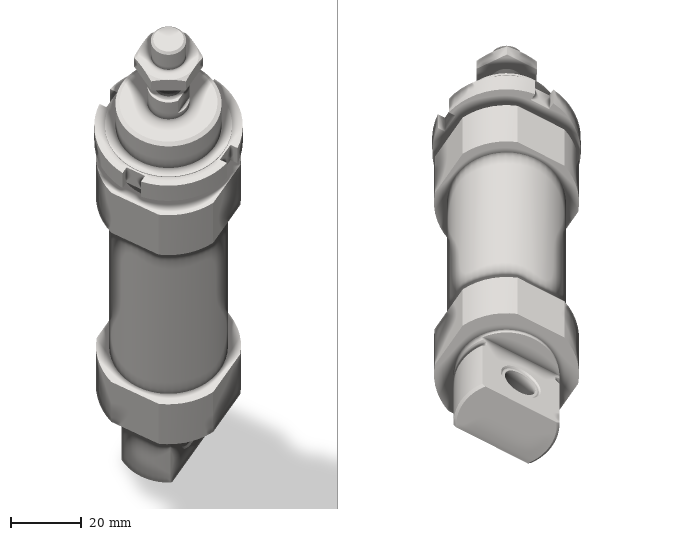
import cadquery as cq
import math

LUG_HEIGHT = 25.0
CAP_HEIGHT = 19.0
TUBE_HEIGHT = 71.0
COLLAR_HEIGHT = 1.5
BOSS_HEIGHT = 26.0
ROD_PROJECTION = 30.0

REAR_CAP_Z = LUG_HEIGHT + COLLAR_HEIGHT
TUBE_Z = REAR_CAP_Z + CAP_HEIGHT
FRONT_CAP_Z = TUBE_Z + TUBE_HEIGHT
BOSS_Z = FRONT_CAP_Z + CAP_HEIGHT
BOSS_TOP_Z = BOSS_Z + BOSS_HEIGHT
ROD_TIP_Z = BOSS_TOP_Z + ROD_PROJECTION

TUBE_DIA = 33.6
CAP_DIA = 41.0
CAP_FLATS = 38.0
THREAD_DIA = 30.0
BOSS_TIP_DIA = 27.7
BOSS_TIP_CHAMFER_HEIGHT = 0.7
GROOVE_DIA = 27.7
BOSS_GROOVE_DISTANCE = 2.2
LUG_GROOVE_DISTANCE = 2.75
GROOVE_FLANK_ANGLE = 45.0
GROOVE_DEPTH = (THREAD_DIA - GROOVE_DIA) / 2
GROOVE_NEAR_FLANK = 0.4
GROOVE_FLOOR_WIDTH = 1.4
GROOVE_FAR_FLANK = GROOVE_DEPTH * math.tan(math.radians(GROOVE_FLANK_ANGLE))

LUG_THICKNESS = 16.0
LUG_HOLE_DIA = 10.0
LUG_SEAT_DIA = 12.0
LUG_SEAT_CHAMFER = 0.5
LUG_HOLE_Z = 12.0
LUG_FOOT_CHAMFER = 0.8

ROD_DIA = 12.0
ROD_LENGTH = 8.0
ROD_SEAT_DEPTH = 10.0
ROD_FLATS = 10.0
ROD_FLATS_HEIGHT = 6.0
ROD_THREAD_DIA = 10.0
ROD_THREAD_LENGTH = 18.0
ROD_TIP_DIA = 8.65
ROD_NECK_DIA = 8.4
ROD_NECK_FLANK = 0.5
ROD_NECK_WIDTH = 1.2
ROD_TIP_CHAMFER_HEIGHT = 0.7
ROD_FOOT_Z = BOSS_TOP_Z - ROD_SEAT_DEPTH
ROD_SHOULDER_Z = BOSS_TOP_Z + ROD_LENGTH
ROD_THREAD_Z = ROD_TIP_Z - ROD_THREAD_LENGTH

HEX_FLATS = 17.0
HEX_HEIGHT = 5.0
HEX_NUT_TOP_DISTANCE = 7.8
HEX_NUT_Z = ROD_TIP_Z - HEX_NUT_TOP_DISTANCE - HEX_HEIGHT
HEX_CHAMFER_ANGLE = 30.0
HEX_SIDES = 6
HEX_HALF_SECTOR = 180 / HEX_SIDES

RING_DIA = 42.0
RING_HEIGHT = 7.5
RING_LAND_DIA = 36.0
RING_LAND_HEIGHT = 0.3
RING_NUT_TOP_DISTANCE = 11.0
RING_NUT_Z = BOSS_TOP_Z - RING_NUT_TOP_DISTANCE - RING_HEIGHT
RING_SLOT_WIDTH = 6.0
RING_SLOT_FLOOR = 18.5
RING_SLOT_COUNT = 4


def disc(diameter, height, z):
    return cq.Workplane("XY", origin=(0, 0, z)).circle(diameter / 2).extrude(height)


def turned(points):
    """Revolve a (radius, z) outline around the Z axis."""
    return cq.Workplane("XZ").polyline(points).close().revolve(360, (0, 0, 0), (0, 1, 0))


def centred_box(x_size, y_size, height, z):
    return cq.Workplane("XY", origin=(0, 0, z)).rect(x_size, y_size).extrude(height)


def groove_cutter(near_edge_z, direction):
    """Ring that cuts a thread relief groove, running from near_edge_z upwards (+1) or downwards (-1)."""
    outer = THREAD_DIA / 2
    floor = GROOVE_DIA / 2
    floor_start = GROOVE_NEAR_FLANK
    floor_end = floor_start + GROOVE_FLOOR_WIDTH
    far_edge = floor_end + GROOVE_FAR_FLANK
    return turned([
        (outer, near_edge_z),
        (floor, near_edge_z + direction * floor_start),
        (floor, near_edge_z + direction * floor_end),
        (outer, near_edge_z + direction * far_edge),
    ])


def cap(z):
    flats = centred_box(CAP_FLATS, CAP_FLATS, CAP_HEIGHT, z)
    return disc(CAP_DIA, CAP_HEIGHT, z).intersect(flats)


def front_boss():
    thread = THREAD_DIA / 2
    boss = turned([
        (0, BOSS_Z),
        (thread, BOSS_Z),
        (thread, BOSS_TOP_Z - BOSS_TIP_CHAMFER_HEIGHT),
        (BOSS_TIP_DIA / 2, BOSS_TOP_Z),
        (0, BOSS_TOP_Z),
    ])
    return boss.cut(groove_cutter(BOSS_Z + BOSS_GROOVE_DISTANCE, 1))


def pivot_hole():
    """Cutter for the cross hole, with a chamfered shallow recess around each mouth."""
    half = LUG_THICKNESS / 2
    bore = LUG_HOLE_DIA / 2
    seat = LUG_SEAT_DIA / 2
    mouth = seat + LUG_SEAT_CHAMFER
    floor = half - LUG_SEAT_CHAMFER
    outline = [
        (-half, 0),
        (-half, mouth),
        (-floor, seat),
        (-floor, bore),
        (floor, bore),
        (floor, seat),
        (half, mouth),
        (half, 0),
    ]
    cutter = cq.Workplane("XZ").polyline(outline).close().revolve(360, (0, 0, 0), (1, 0, 0))
    return cutter.translate((0, 0, LUG_HOLE_Z))


def rear_lug():
    blank = disc(THREAD_DIA, LUG_HEIGHT, 0).faces("<Z").chamfer(LUG_FOOT_CHAMFER)
    blank = blank.cut(groove_cutter(REAR_CAP_Z - LUG_GROOVE_DISTANCE, -1))
    lug = blank.intersect(centred_box(LUG_THICKNESS, THREAD_DIA, LUG_HEIGHT, 0))
    return lug.cut(pivot_hole())


def make_housing():
    return (
        disc(TUBE_DIA, TUBE_HEIGHT, TUBE_Z)
        .union(cap(REAR_CAP_Z))
        .union(cap(FRONT_CAP_Z))
        .union(disc(THREAD_DIA, COLLAR_HEIGHT, LUG_HEIGHT))
        .union(front_boss())
        .union(rear_lug())
        .cut(disc(ROD_DIA, ROD_SEAT_DEPTH, ROD_FOOT_Z))
    )


def make_rod():
    thread = ROD_THREAD_DIA / 2
    neck = ROD_NECK_DIA / 2
    rod = turned([
        (0, ROD_FOOT_Z),
        (ROD_DIA / 2, ROD_FOOT_Z),
        (ROD_DIA / 2, ROD_SHOULDER_Z),
        (thread, ROD_SHOULDER_Z),
        (neck, ROD_SHOULDER_Z + ROD_NECK_FLANK),
        (neck, ROD_SHOULDER_Z + ROD_NECK_FLANK + ROD_NECK_WIDTH),
        (thread, ROD_THREAD_Z),
        (thread, ROD_TIP_Z - ROD_TIP_CHAMFER_HEIGHT),
        (ROD_TIP_DIA / 2, ROD_TIP_Z),
        (0, ROD_TIP_Z),
    ])
    flats_z = ROD_SHOULDER_Z - ROD_FLATS_HEIGHT
    wrench = disc(ROD_DIA, ROD_FLATS_HEIGHT, flats_z).cut(
        centred_box(ROD_FLATS, ROD_DIA, ROD_FLATS_HEIGHT, flats_z)
    )
    return rod.cut(wrench)


def make_hex_nut():
    corners = HEX_FLATS / math.cos(math.radians(HEX_HALF_SECTOR))
    corner_cut = (corners - HEX_FLATS) / 2
    corner_drop = corner_cut * math.tan(math.radians(HEX_CHAMFER_ANGLE))
    prism = (
        cq.Workplane("XY", origin=(0, 0, HEX_NUT_Z))
        .polygon(HEX_SIDES, corners)
        .extrude(HEX_HEIGHT)
        .rotate((0, 0, 0), (0, 0, 1), HEX_HALF_SECTOR)
    )
    rounded = disc(corners, HEX_HEIGHT, HEX_NUT_Z).faces(">Z").chamfer(corner_drop, corner_cut)
    return prism.intersect(rounded).cut(disc(ROD_THREAD_DIA, HEX_HEIGHT, HEX_NUT_Z))


def make_ring_nut():
    ring = (
        disc(RING_DIA, RING_HEIGHT - RING_LAND_HEIGHT, RING_NUT_Z)
        .union(disc(RING_LAND_DIA, RING_HEIGHT, RING_NUT_Z))
        .cut(disc(THREAD_DIA, RING_HEIGHT, RING_NUT_Z))
    )
    slot_depth = RING_DIA / 2 - RING_SLOT_FLOOR
    slot = centred_box(slot_depth, RING_SLOT_WIDTH, RING_HEIGHT, RING_NUT_Z)
    slot = slot.translate((RING_SLOT_FLOOR + slot_depth / 2, 0, 0))
    for index in range(RING_SLOT_COUNT):
        ring = ring.cut(slot.rotate((0, 0, 0), (0, 0, 1), index * 360 / RING_SLOT_COUNT))
    return ring


housing = make_housing()
rod = make_rod()
hex_nut = make_hex_nut()
ring_nut = make_ring_nut()

result = cq.Compound.makeCompound([housing.val(), rod.val(), hex_nut.val(), ring_nut.val()])